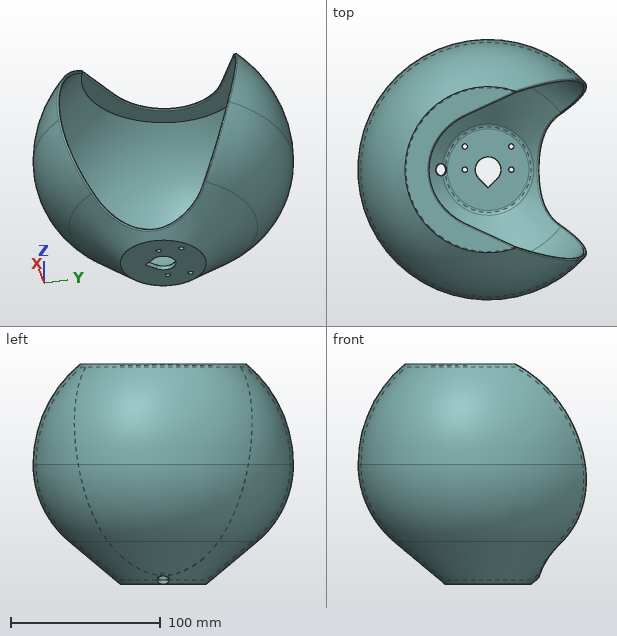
import cadquery as cq
import math

dome_radius = 87.0
top_height = 67.0
base_height = 80.13
base_radius = 28.6
belly_radius = 67.0
wall = 2.0
floor_thickness = 3.0
floor_fillet = 5.0

opening_tilt = 27.5
nose_radius = 41.0
nose_distance = -4.4
wedge_half_angle = 27.5
lip_fillet = 0.8
opening_reach = 2 * dome_radius

screw_diameter = 3.4
screw_spacing = 31.0
shaft_hole_radius = 8.5

cable_diameter = 8.0
cable_tilt = 15.0
cable_height = -77.4

belly_center_x = dome_radius - belly_radius
base_offset_x = base_radius - belly_center_x
base_distance = math.hypot(base_offset_x, base_height)
cone_normal = math.atan2(base_height, base_offset_x) - math.acos(belly_radius / base_distance)
normal_x = math.cos(cone_normal)
normal_z = -math.sin(cone_normal)


def cone_radius(z, inset):
    """Radius of the cone at height z, moved inward by inset along its normal."""
    return belly_center_x + (belly_radius - inset - normal_z * z) / normal_x


def bowl_solid(inset, top_z, bottom_z):
    """Solid of revolution with the bowl's outline moved inward by inset."""
    dome = dome_radius - inset
    belly = belly_radius - inset
    dome_middle = math.asin(top_z / dome) / 2
    half_normal = cone_normal / 2
    profile = (
        cq.Workplane("XZ")
        .moveTo(0, top_z)
        .lineTo(math.sqrt(dome**2 - top_z**2), top_z)
        .threePointArc((dome * math.cos(dome_middle), dome * math.sin(dome_middle)), (dome, 0))
        .threePointArc(
            (belly_center_x + belly * math.cos(half_normal), -belly * math.sin(half_normal)),
            (belly_center_x + belly * normal_x, belly * normal_z),
        )
        .lineTo(cone_radius(bottom_z, inset), bottom_z)
        .lineTo(0, bottom_z)
        .close()
    )
    return profile.revolve(360, (0, 0, 0), (0, 1, 0)).rotate((0, 0, 0), (0, 0, 1), 180)


def hollow_bowl():
    cavity = bowl_solid(wall, top_height - wall, floor_thickness - base_height)
    cavity = cavity.faces("<Z").edges().fillet(floor_fillet)
    return bowl_solid(0, top_height, -base_height).cut(cavity)


def side_opening():
    """Round-nosed wedge, extruded both ways along the sloping axis."""
    tilt = math.radians(opening_tilt)
    half_angle = math.radians(wedge_half_angle)
    nose_center = nose_distance + nose_radius
    tangent_x = nose_center - nose_radius * math.sin(half_angle)
    tangent_y = nose_radius * math.cos(half_angle)
    far_y = tangent_y + (opening_reach - tangent_x) * math.tan(half_angle)
    across_axis = cq.Plane(
        origin=(0, 0, 0),
        xDir=(math.cos(tilt), 0, math.sin(tilt)),
        normal=(-math.sin(tilt), 0, math.cos(tilt)),
    )
    return (
        cq.Workplane(across_axis)
        .moveTo(opening_reach, -far_y)
        .lineTo(tangent_x, -tangent_y)
        .threePointArc((nose_distance, 0), (tangent_x, tangent_y))
        .lineTo(opening_reach, far_y)
        .close()
        .extrude(opening_reach, both=True)
    )


def floor_holes():
    """Four screw holes and a teardrop shaft hole whose right-angled tip points to -Y."""
    half_spacing = screw_spacing / 2
    tangent = shaft_hole_radius / math.sqrt(2)
    floor_plane = cq.Workplane("XY", origin=(0, 0, -base_height))
    screws = floor_plane.pushPoints(
        [(x, y) for x in (-half_spacing, half_spacing) for y in (0, half_spacing)]
    ).circle(screw_diameter / 2).extrude(floor_thickness)
    shaft = (
        floor_plane
        .moveTo(0, -2 * tangent)
        .lineTo(tangent, -tangent)
        .threePointArc((0, shaft_hole_radius), (-tangent, -tangent))
        .close()
        .extrude(floor_thickness)
    )
    return screws.union(shaft)


def cable_hole():
    tilt = math.radians(cable_tilt)
    center = (-cone_radius(cable_height, 0), 0, cable_height)
    across_axis = cq.Plane(origin=center, xDir=(0, 1, 0), normal=(math.sin(tilt), 0, math.cos(tilt)))
    reach = 3 * wall
    return cq.Workplane(across_axis).circle(cable_diameter / 2).extrude(reach, both=True)


def lip_edges(opened):
    """Edges along both sides of the lip, without the rulings that cross it."""
    flat_faces = opened.faces("%PLANE").vals()
    walls = opened.faces("%CYLINDER").vals() + [f for f in flat_faces if abs(f.normalAt().z) < 0.9]
    edges = {edge.hashCode(): edge for wall_face in walls for edge in wall_face.Edges()}
    return [edge for edge in edges.values() if edge.Length() > 1.5 * wall]


def opened_bowl():
    """Hollow bowl with the side opening cut and both sides of its lip rounded."""
    opened = hollow_bowl().cut(side_opening())
    return opened.newObject(lip_edges(opened)).fillet(lip_fillet)


result = opened_bowl().cut(floor_holes()).cut(cable_hole())